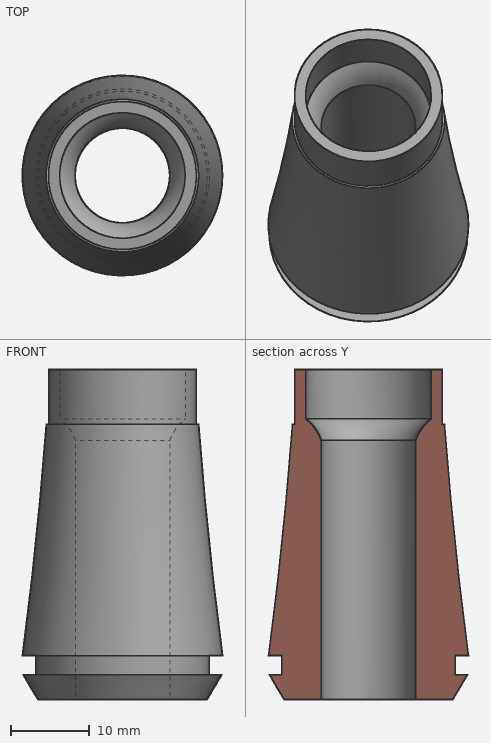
import cadquery as cq

total_height = 42.0
flange_top_z = 3.2
body_bottom_z = 5.6
shoulder_z = 35.03
counterbore_depth = 6.25

flange_bottom_radius = 10.75
flange_top_radius = 12.65
neck_radius = 11.05
body_bottom_radius = 25.5 / 2
body_waist_inset = 0.2
body_top_radius = 9.7
collar_radius = 9.4

counterbore_radius = 8.0
bore_radius = 6.0

seat_depth = 2.75
seat_crown = 0.25
seat_top_z = total_height - counterbore_depth
seat_bottom_z = seat_top_z - seat_depth


def revolve_about_z(profile):
    """Revolve a closed radius-height outline about the Z axis."""
    return profile.close().revolve(360, (0, 0), (0, 1))


def make_outside():
    """Flange, neck groove, tapered body with a concave side, and collar."""
    profile = (
        cq.Workplane("XZ")
        .lineTo(flange_bottom_radius, 0)
        .lineTo(flange_top_radius, flange_top_z)
        .lineTo(neck_radius, flange_top_z)
        .lineTo(neck_radius, body_bottom_z)
        .lineTo(collar_radius, body_bottom_z)
        .lineTo(collar_radius, total_height)
        .lineTo(0, total_height)
    )
    body = (
        cq.Workplane("XZ")
        .moveTo(0, shoulder_z)
        .lineTo(body_top_radius, shoulder_z)
        .sagittaArc((body_bottom_radius, body_bottom_z), -body_waist_inset)
        .lineTo(0, body_bottom_z)
    )
    return revolve_about_z(profile).union(revolve_about_z(body))


def make_cavity():
    """Through bore, crowned seat and counterbore."""
    profile = (
        cq.Workplane("XZ")
        .lineTo(bore_radius, 0)
        .lineTo(bore_radius, seat_bottom_z)
        .sagittaArc((counterbore_radius, seat_top_z), seat_crown)
        .lineTo(counterbore_radius, total_height)
        .lineTo(0, total_height)
    )
    return revolve_about_z(profile)


result = make_outside().cut(make_cavity())